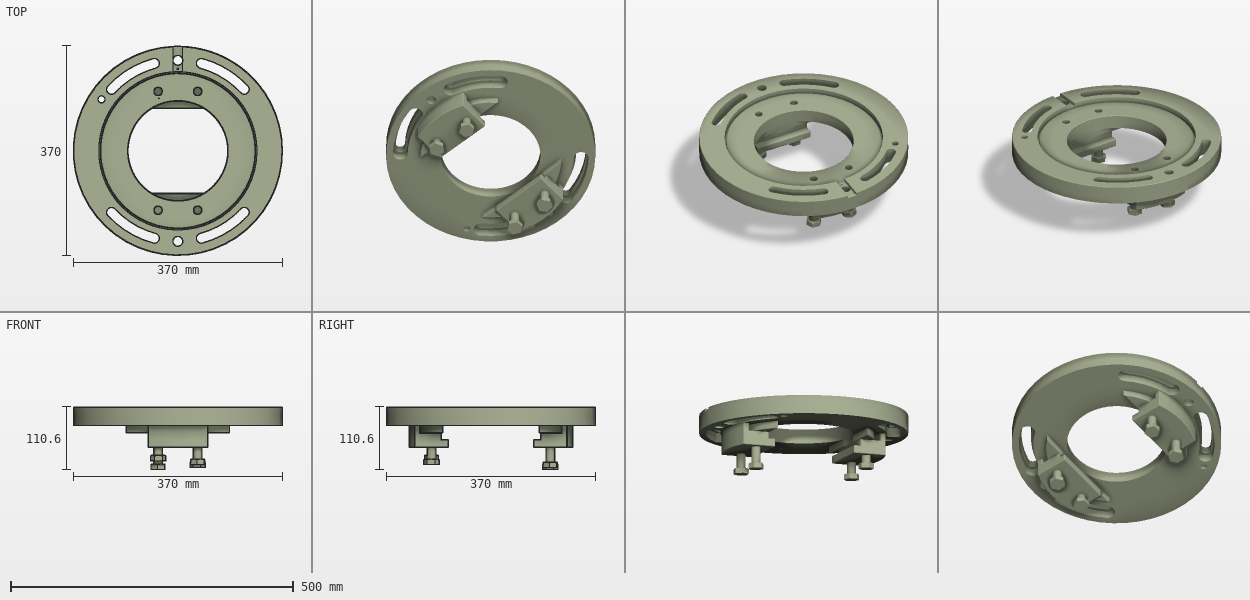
import cadquery as cq
import math


ring_radius = 185.0
ring_thickness = 33.0
ring_edge_chamfer = 1.0
recess_radius = 140.0
recess_depth = 12.0
mount_circle_radius = 160.0
mount_hole_diameter = 17.0
index_hole_diameter = 12.0
index_hole_x = -135.0
index_hole_y = 91.0

slot_start_angle = 42.8
slot_end_angle = 75.0
slot_width = 17.0
slot_depth = 16.0
wide_slot_width = 26.0

keyway_width = 17.0
keyway_depth = 6.0
pin_hole_diameter = 3.0
pin_hole_radius = 145.0
pin_hole_depth = 6.0

flange_radius = 137.5
flange_chamfer = 1.0
flange_top_depth = 8.0
bore_radius = 88.0
bore_chamfer = 1.0
boss_radius = 125.0
boss_flat_y = 85.0
boss_height = 13.0
boss_chamfer = 1.0
boss_bottom_depth = ring_thickness + boss_height

jaw_width = 106.0
jaw_outer_radius = 145.0
jaw_recess_y = boss_radius
jaw_neck_y = 87.5
jaw_tip_y = 75.0
jaw_step_depth = 57.5
jaw_bottom_depth = 71.5
jaw_chamfer = 1.0

bolt_diameter = 16.0
bolt_length = 70.0
bolt_tip_chamfer = 1.0
head_across_flats = 24.0
head_height = 10.0
head_face_diameter = 22.5
head_corner_angle = 30.0
hexagon_half_pitch = 30.0
tap_hole_diameter = bolt_diameter - 2 * bolt_tip_chamfer
bolt_x = 35.0
bolt_y = 105.0

bolts_placed = [
    (-bolt_x, -bolt_y, 95.0, 213.0),
    (bolt_x, -bolt_y, 101.7, 55.0),
    (-bolt_x, bolt_y, 110.57, 295.0),
    (bolt_x, bolt_y, 107.3, 23.0),
]


def cylinder(radius, top_depth, bottom_depth, x=0.0, y=0.0):
    """Upright cylinder between two depths."""
    height = bottom_depth - top_depth
    return cq.Workplane("XY", origin=(x, y, -bottom_depth)).circle(radius).extrude(height)


def polar_point(radius, angle):
    return (radius * math.cos(math.radians(angle)), radius * math.sin(math.radians(angle)))


def curved_slot(width, start_angle, end_angle, top_depth, bottom_depth):
    """Round-ended slot that follows the mounting circle."""
    outer = mount_circle_radius + width / 2
    inner = mount_circle_radius - width / 2
    middle_angle = (start_angle + end_angle) / 2
    along_slot = 90.0
    end_cap = polar_point(width / 2, end_angle + along_slot)
    start_cap = polar_point(width / 2, start_angle - along_slot)
    end_centre = polar_point(mount_circle_radius, end_angle)
    start_centre = polar_point(mount_circle_radius, start_angle)
    return (
        cq.Workplane("XY", origin=(0, 0, -bottom_depth))
        .moveTo(*polar_point(outer, start_angle))
        .threePointArc(polar_point(outer, middle_angle), polar_point(outer, end_angle))
        .threePointArc(
            (end_centre[0] + end_cap[0], end_centre[1] + end_cap[1]),
            polar_point(inner, end_angle),
        )
        .threePointArc(polar_point(inner, middle_angle), polar_point(inner, start_angle))
        .threePointArc(
            (start_centre[0] + start_cap[0], start_centre[1] + start_cap[1]),
            polar_point(outer, start_angle),
        )
        .close()
        .extrude(bottom_depth - top_depth)
    )


def make_ring():
    ring = cylinder(ring_radius, 0, ring_thickness).faces(">Z").chamfer(ring_edge_chamfer)
    ring = ring.cut(cylinder(recess_radius, 0, recess_depth))
    ring = ring.cut(cylinder(flange_radius, 0, ring_thickness))

    for start_angle, end_angle in [
        (slot_start_angle, slot_end_angle),
        (180 - slot_end_angle, 180 - slot_start_angle),
        (180 + slot_start_angle, 180 + slot_end_angle),
        (360 - slot_end_angle, 360 - slot_start_angle),
    ]:
        ring = ring.cut(curved_slot(slot_width, start_angle, end_angle, 0, slot_depth))
        ring = ring.cut(
            curved_slot(wide_slot_width, start_angle, end_angle, slot_depth, ring_thickness)
        )

    for y in (-mount_circle_radius, mount_circle_radius):
        ring = ring.cut(cylinder(mount_hole_diameter / 2, 0, ring_thickness, 0, y))
    ring = ring.cut(
        cylinder(index_hole_diameter / 2, 0, ring_thickness, index_hole_x, index_hole_y)
    )

    keyway = cq.Workplane("XY").box(
        keyway_width, ring_radius, keyway_depth, centered=(True, False, False)
    )
    ring = ring.cut(keyway.translate((0, 0, -keyway_depth)))
    pin_hole_bottom = keyway_depth + pin_hole_depth
    return ring.cut(
        cylinder(pin_hole_diameter / 2, keyway_depth, pin_hole_bottom, 0, pin_hole_radius)
    )


def bolt_shank(head_depth):
    shank_bottom = head_depth - head_height
    shank = cylinder(bolt_diameter / 2, shank_bottom - bolt_length, shank_bottom)
    return shank.faces(">Z").chamfer(bolt_tip_chamfer)


def make_flange():
    disc = cylinder(flange_radius, flange_top_depth, ring_thickness)
    disc = disc.faces(">Z").chamfer(flange_chamfer)

    boss = cylinder(boss_radius, ring_thickness, boss_bottom_depth)
    band = cq.Workplane("XY").box(2 * boss_radius, 2 * boss_flat_y, 2 * boss_bottom_depth)
    boss = boss.cut(band).faces("<Z").chamfer(boss_chamfer)

    flange = disc.union(boss).cut(cylinder(bore_radius, 0, boss_bottom_depth))
    bore_edge = cq.Solid.makeCone(
        bore_radius,
        bore_radius + bore_chamfer,
        bore_chamfer,
        cq.Vector(0, 0, -flange_top_depth - bore_chamfer),
    )
    flange = flange.cut(cq.Workplane(bore_edge))

    for x, y, head_depth, _ in bolts_placed:
        flange = flange.cut(cylinder(tap_hole_diameter / 2, 0, boss_bottom_depth, x, y))
        flange = flange.cut(bolt_shank(head_depth).translate((x, y, 0)))
    return flange


def make_jaw(side):
    """Clamp jaw hooked under the boss; side is +1 or -1 along Y."""
    profile = [
        (jaw_tip_y, -jaw_bottom_depth),
        (jaw_tip_y, -jaw_step_depth),
        (jaw_neck_y, -jaw_step_depth),
        (jaw_neck_y, -boss_bottom_depth),
        (jaw_recess_y, -boss_bottom_depth),
        (jaw_recess_y, -ring_thickness),
        (jaw_outer_radius, -ring_thickness),
        (jaw_outer_radius, -jaw_bottom_depth),
    ]
    jaw = cq.Workplane("YZ").polyline(profile).close().extrude(jaw_width / 2, both=True)
    jaw = jaw.intersect(cylinder(jaw_outer_radius, 0, jaw_bottom_depth))
    end_edges = jaw.faces("|X").edges("not >Z")
    bottom_edges = jaw.faces("<Z").edges("not |Y")
    lip_edge = jaw.faces("<Y").edges(">Z")
    jaw = end_edges.add(bottom_edges).add(lip_edge).chamfer(jaw_chamfer)
    for x in (-bolt_x, bolt_x):
        jaw = jaw.cut(cylinder(bolt_diameter / 2, 0, jaw_bottom_depth, x, bolt_y))
    return jaw if side > 0 else jaw.mirror("XZ")


def make_bolt(x, y, head_depth, turn):
    corner_radius = head_across_flats / math.sqrt(3)
    corner_run = corner_radius - head_face_diameter / 2
    corner_drop = corner_run * math.tan(math.radians(head_corner_angle))
    head = (
        cq.Workplane("XY", origin=(0, 0, -head_depth))
        .polygon(6, 2 * corner_radius)
        .extrude(head_height)
        .rotate((0, 0, 0), (0, 0, 1), hexagon_half_pitch)
    )
    corner_trim = cylinder(corner_radius, head_depth - head_height, head_depth)
    corner_trim = corner_trim.faces(">Z").chamfer(corner_drop, corner_run)
    bolt = head.intersect(corner_trim).union(bolt_shank(head_depth))
    return bolt.rotate((0, 0, 0), (0, 0, 1), turn).translate((x, y, 0))


ring = make_ring()
flange = make_flange()
jaws = [make_jaw(side) for side in (-1, 1)]
bolts = [make_bolt(*placement) for placement in bolts_placed]

result = cq.Compound.makeCompound(
    [ring.val(), flange.val(), *[jaw.val() for jaw in jaws], *[bolt.val() for bolt in bolts]]
)